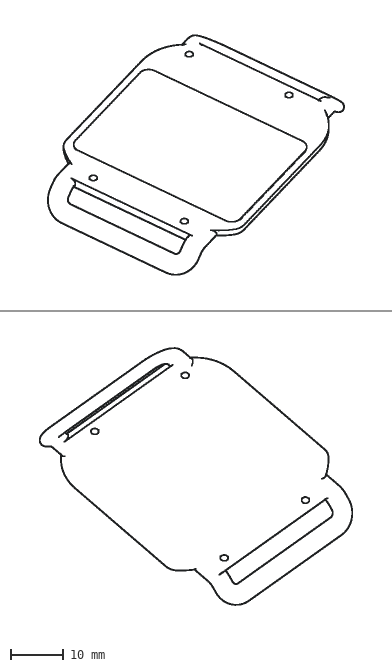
import cadquery as cq
import math

PLATE_WIDTH = 41.0
PLATE_LENGTH = 43.95
THICKNESS = 2.0
UPPER_CORNER_RADIUS = 9.95
UPPER_CORNER_Y = 11.95
LOWER_CORNER_Y = -15.05
LOWER_NECK_Y = -18.75
SHOULDER_RADIUS = 14.15
SHOULDER_BLEND = 3.0
UNDERSIDE_FILLET = 0.95

POCKET_WIDTH = 37.95
POCKET_TOP_Y = 11.05
POCKET_BOTTOM_Y = -15.0
POCKET_DEPTH = 1.0
POCKET_CORNER_RADIUS = 2.0
POCKET_FLOOR_FILLET = 1.0

HOLE_DIAMETER = 1.5
HOLE_CENTRES = [(-14.0, 18.45), (8.0, 19.95), (-10.5, -19.55), (10.5, -19.55)]

HANDLE_WIDTH = 34.0
BAR_WIDTH = 4.0
BEND_INNER_DIAMETER = 2.8
BEND_ANGLE = 45.0
LOOP_LENGTH = 6.2
LOOP_CORNER_RADIUS = 3.0
ROOT_LENGTH = 5.1

half_plate = PLATE_WIDTH / 2
end_y = PLATE_LENGTH / 2
mid_z = -THICKNESS / 2
edge_radius = THICKNESS / 2
half_neck = HANDLE_WIDTH / 2 - edge_radius
leg_x = HANDLE_WIDTH / 2 - BAR_WIDTH / 2
bend_radius = (BEND_INNER_DIAMETER + THICKNESS) / 2

SELECTION_MARGIN = 0.05


def shoulder_midpoint(start, end, radius):
    """Middle point of the arc that bulges to the right of the chord from start to end."""
    dx = end[0] - start[0]
    dy = end[1] - start[1]
    chord = math.hypot(dx, dy)
    rise = radius - math.sqrt(radius ** 2 - (chord / 2) ** 2)
    return ((start[0] + end[0]) / 2 + rise * dy / chord, (start[1] + end[1]) / 2 - rise * dx / chord)


def make_plate():
    """Plate built as its +X half, then mirrored."""
    upper_centre_x = half_plate - UPPER_CORNER_RADIUS
    neck_offset = half_neck - upper_centre_x
    upper_neck_y = UPPER_CORNER_Y + math.sqrt(UPPER_CORNER_RADIUS ** 2 - neck_offset ** 2)
    half_sweep = math.acos(neck_offset / UPPER_CORNER_RADIUS) / 2
    upper_mid = (
        upper_centre_x + UPPER_CORNER_RADIUS * math.cos(half_sweep),
        UPPER_CORNER_Y + UPPER_CORNER_RADIUS * math.sin(half_sweep),
    )
    lower_neck = (half_neck, LOWER_NECK_Y)
    lower_corner = (half_plate, LOWER_CORNER_Y)
    lower_mid = shoulder_midpoint(lower_neck, lower_corner, SHOULDER_RADIUS)

    half = (
        cq.Workplane("XY")
        .moveTo(0, -end_y)
        .lineTo(half_neck, -end_y)
        .lineTo(*lower_neck)
        .threePointArc(lower_mid, lower_corner)
        .lineTo(half_plate, UPPER_CORNER_Y)
        .threePointArc(upper_mid, (half_neck, upper_neck_y))
        .lineTo(half_neck, end_y)
        .lineTo(0, end_y)
        .close()
        .extrude(-THICKNESS)
    )
    corner = cq.selectors.NearestToPointSelector((half_plate, LOWER_CORNER_Y, mid_z))
    half = half.edges(corner).fillet(SHOULDER_BLEND)

    outer_edges = cq.selectors.BoxSelector(
        (half_neck + SELECTION_MARGIN, -end_y, -THICKNESS - SELECTION_MARGIN),
        (half_plate + SELECTION_MARGIN, end_y, -THICKNESS + SELECTION_MARGIN),
    )
    half = half.edges(outer_edges).fillet(UNDERSIDE_FILLET)
    return half.union(half.mirror("YZ")).clean()


def make_pocket():
    """Cutter for the pocket, tall enough to pass above the top face."""
    length = POCKET_TOP_Y - POCKET_BOTTOM_Y
    return (
        cq.Workplane("XY", origin=(0, (POCKET_TOP_Y + POCKET_BOTTOM_Y) / 2, -POCKET_DEPTH))
        .rect(POCKET_WIDTH, length)
        .extrude(2 * POCKET_DEPTH)
        .edges("|Z")
        .fillet(POCKET_CORNER_RADIUS)
        .faces("<Z")
        .edges()
        .fillet(POCKET_FLOOR_FILLET)
    )


def make_handle():
    """Handle at the +Y end of the plate: two buried roots, two bends and a U-shaped loop."""
    angle = math.radians(BEND_ANGLE)
    bend_end_y = end_y + bend_radius * math.sin(angle)
    bend_end_z = mid_z - bend_radius * (1 - math.cos(angle))

    loop_plane = cq.Plane(
        origin=(0, bend_end_y, bend_end_z), xDir=(1, 0, 0), normal=(0, math.sin(angle), math.cos(angle))
    )
    section_plane = cq.Plane(
        origin=loop_plane.toWorldCoords((-leg_x, 0, 0)), xDir=(1, 0, 0), normal=loop_plane.yDir
    )
    bar_y = LOOP_LENGTH - BAR_WIDTH / 2
    corner_y = bar_y - LOOP_CORNER_RADIUS
    corner_x = leg_x - LOOP_CORNER_RADIUS
    path = (
        cq.Workplane(loop_plane)
        .moveTo(-leg_x, 0)
        .lineTo(-leg_x, corner_y)
        .tangentArcPoint((-corner_x, bar_y), relative=False)
        .lineTo(corner_x, bar_y)
        .tangentArcPoint((leg_x, corner_y), relative=False)
        .lineTo(leg_x, 0)
    )
    handle = cq.Workplane(section_plane).slot2D(BAR_WIDTH, THICKNESS).sweep(path)

    for x in (-leg_x, leg_x):
        leg_end = cq.Workplane("XZ", origin=(x, end_y, mid_z))
        root = leg_end.slot2D(BAR_WIDTH, THICKNESS).extrude(ROOT_LENGTH)
        bend_axis = [(0.55, -bend_radius, 0), (0, -bend_radius, 0)]
        bend = leg_end.slot2D(BAR_WIDTH, THICKNESS).revolve(BEND_ANGLE, *bend_axis)
        handle = handle.union(root).union(bend)
    return handle


plate = make_plate()
pocket = make_pocket()
handle = make_handle()
holes = cq.Workplane("XY").pushPoints(HOLE_CENTRES).circle(HOLE_DIAMETER / 2).extrude(-THICKNESS)

result = plate.union(handle).union(handle.mirror("XZ")).cut(pocket).cut(holes)